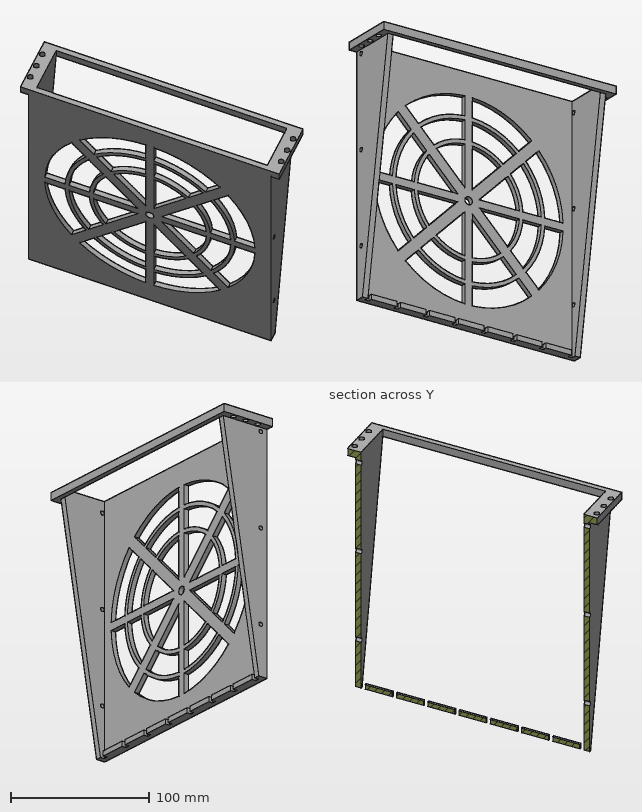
import cadquery as cq
import math

flange_width = 203.2
flange_depth = 44.45
total_height = 203.2
flange_height = 6.35

body_width = 190.5
plate_thickness = 4.1275
side_wall = 4.7625
body_bottom_depth = 7.62
inner_width = body_width - 2 * side_wall
body_top_depth = flange_depth - plate_thickness
flange_bottom = total_height - flange_height

slot_width = 3.175
slot_pitch = 25.4
slot_count = 8
floor_thickness = plate_thickness
floor_depth = body_bottom_depth - plate_thickness

grille_height = total_height / 2
grille_radius = 82.55
ring_outer_radii = (47.625, 66.675)
ring_width = 3.175
upright_spoke_width = 6.35
diagonal_spoke_width = upright_spoke_width * math.sqrt(2)
hub_hole_diameter = 6.35

flange_hole_diameter = 4.06
flange_hole_inset = 3.175
flange_hole_pitch = flange_depth / 4
side_hole_diameter = 3.175
side_hole_depth_position = plate_thickness + floor_depth / 2
side_hole_pitch = 76.2
side_hole_drop = 3.175
side_hole_top = flange_bottom - side_hole_drop
holes_per_row = 3


def box(width, depth, height, front, bottom):
    """Block centred on X with its front face at Y=front and its base at Z=bottom."""
    block = cq.Workplane("XY").box(width, depth, height, centered=(True, False, False))
    return block.translate((0, front, bottom))


def grille_disc(radius):
    """Disc through the front plate, centred on the grille."""
    disc = cq.Workplane("XZ").circle(radius).extrude(-plate_thickness)
    return disc.translate((0, 0, grille_height))


def make_body():
    """Front plate, two tapered side walls and the floor, open at the back."""
    side_profile = [
        (0, 0),
        (body_bottom_depth, 0),
        (body_top_depth, flange_bottom),
        (0, flange_bottom),
    ]
    wedge = cq.Workplane("YZ").polyline(side_profile).close().extrude(body_width / 2, both=True)
    cavity = box(inner_width, flange_depth, total_height, plate_thickness, floor_thickness)
    floor_rear = box(inner_width, flange_depth, floor_thickness, body_bottom_depth, 0)
    return wedge.cut(cavity).cut(floor_rear)


def make_flange():
    """Rectangular frame around the open top."""
    frame = box(flange_width, flange_depth, flange_height, 0, flange_bottom)
    opening_depth = flange_depth - 2 * plate_thickness
    opening = box(inner_width, opening_depth, flange_height, plate_thickness, flange_bottom)
    return frame.cut(opening)


def make_floor_slots():
    """Slots between the floor tabs, open towards the back."""
    slots = cq.Workplane("XY")
    for index in range(slot_count):
        x = (index - (slot_count - 1) / 2) * slot_pitch
        slot = box(slot_width, floor_depth, floor_thickness, plate_thickness, 0)
        slots = slots.add(slot.translate((x, 0, 0)))
    return slots.combine()


def make_grille_openings():
    """Grille disc less its rings and its four full-width bars, plus the hub hole."""
    openings = grille_disc(grille_radius)
    for outer_radius in ring_outer_radii:
        ring = grille_disc(outer_radius).cut(grille_disc(outer_radius - ring_width))
        openings = openings.cut(ring)
    spoke_widths = {
        0: upright_spoke_width,
        45: diagonal_spoke_width,
        90: upright_spoke_width,
        135: diagonal_spoke_width,
    }
    for angle, width in spoke_widths.items():
        spoke = box(2 * grille_radius, plate_thickness, width, 0, -width / 2)
        spoke = spoke.rotate((0, 0, 0), (0, 1, 0), angle).translate((0, 0, grille_height))
        openings = openings.cut(spoke)
    return openings.union(grille_disc(hub_hole_diameter / 2))


def make_flange_holes():
    """Vertical screw holes in both ends of the flange."""
    hole_x = flange_width / 2 - flange_hole_inset
    points = []
    for index in range(holes_per_row):
        y = (index + 1) * flange_hole_pitch
        points += [(-hole_x, y), (hole_x, y)]
    holes = cq.Workplane("XY").pushPoints(points).circle(flange_hole_diameter / 2).extrude(flange_height)
    return holes.translate((0, 0, flange_bottom))


def make_side_holes():
    """Screw holes through both side walls, along the front plate."""
    points = [
        (side_hole_depth_position, side_hole_top - index * side_hole_pitch)
        for index in range(holes_per_row)
    ]
    holes = cq.Workplane("YZ").pushPoints(points).circle(side_hole_diameter / 2)
    return holes.extrude(body_width / 2, both=True)


result = make_body().union(make_flange())
result = result.cut(make_floor_slots())
result = result.cut(make_grille_openings())
result = result.cut(make_flange_holes())
result = result.cut(make_side_holes())